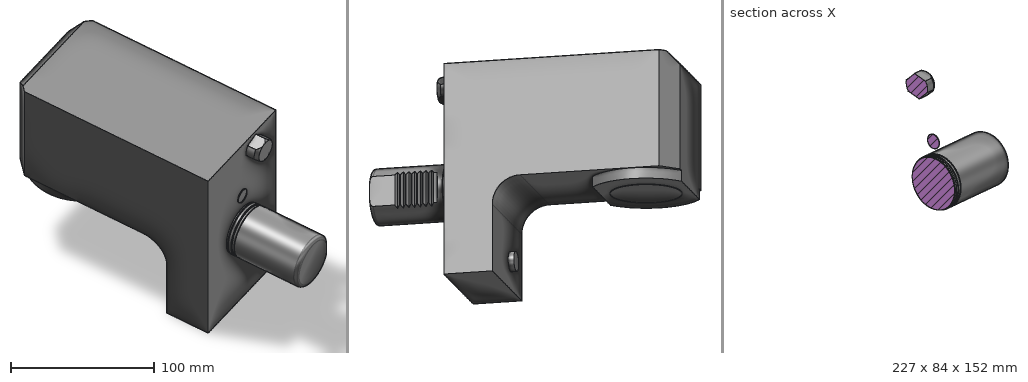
import cadquery as cq

total_length = 227.0
width = 84.0
height = 152.0

shank_length = 60.0
body_length = total_length - shank_length
arm_height = 84.0
leg_thickness = 35.0
inner_corner_radius = 20.0
side_chamfer = 12.0
top_chamfer = 8.0
arm_bottom = height - arm_height
leg_front = body_length - leg_thickness

boss_diameter = 82.0
boss_length = 64.0
boss_depth = 7.7
face_plate_radius = 25.2
face_plate_depth = 0.5

shank_radius = 20.0
shank_height = 69.9
shank_end_fillet = 2.7
neck_relief = 0.5
neck_length = 1.1
land_start = 2.0
land_end = 4.0
ring_start = 4.8
ring_end = 6.8
groove_depth = 0.7
ring_recess = 0.11

flat_offset = 16.8
flat_start = 11.3
flat_run_in = 1.4
tooth_count = 7
tooth_pitch = 4.0
first_tooth = 15.5
tooth_depth = 1.5
tooth_width = 3.5

head_y = 15.0
head_z = 139.8
head_length = 9.8
head_radius = 10.0
head_flat_distance = 8.2
head_chamfer_length = 3.0
head_chamfer_depth = 1.7
head_flat_angles = (47, 107, 227, 287)

port_z = 101.9
port_radius = 5.5
port_depth = 0.7
pin_y = -10.0
pin_z = 20.0
pin_radius = 7.0
pin_length = 4.0


def rod(x, y, z, radius, length):
    """Cylinder along +X whose first end is centred on (x, y, z)."""
    return cq.Workplane("YZ", origin=(x, y, z)).circle(radius).extrude(length)


def make_body():
    outline = (
        cq.Workplane("XZ", origin=(0, width / 2, 0))
        .moveTo(0, height)
        .lineTo(body_length, height)
        .lineTo(body_length, 0)
        .lineTo(leg_front, 0)
        .lineTo(leg_front, arm_bottom - inner_corner_radius)
        .radiusArc((leg_front - inner_corner_radius, arm_bottom), -inner_corner_radius)
        .lineTo(0, arm_bottom)
        .close()
    )
    body = outline.extrude(width)
    body = body.faces("<X").edges("|Z").chamfer(side_chamfer)
    return body.faces("<X").edges(">Z").chamfer(top_chamfer)


def make_boss():
    plane = cq.Workplane("XY", origin=(boss_length / 2, 0, arm_bottom))
    disc = plane.circle(boss_diameter / 2).extrude(-boss_depth)
    trim = plane.rect(boss_length, width).extrude(-boss_depth)
    plate = plane.circle(face_plate_radius).extrude(-boss_depth - face_plate_depth)
    return disc.intersect(trim).union(plate)


def make_shank():
    groove_radius = shank_radius - groove_depth
    profile = (
        cq.Workplane("XY")
        .moveTo(0, 0)
        .lineTo(0, shank_radius - neck_relief)
        .lineTo(neck_length, shank_radius - neck_relief)
        .lineTo(land_start, shank_radius)
        .lineTo(land_end, shank_radius)
        .lineTo(land_end, groove_radius)
        .lineTo(ring_start, groove_radius)
        .threePointArc(
            ((ring_start + ring_end) / 2, shank_radius - ring_recess),
            (ring_end, groove_radius),
        )
        .lineTo(ring_end, shank_radius)
        .lineTo(shank_length, shank_radius)
        .lineTo(shank_length, 0)
        .close()
    )
    shank = profile.revolve(360, (0, 0, 0), (1, 0, 0))
    shank = shank.faces(">X").edges().fillet(shank_end_fillet)
    return shank.cut(make_toothed_cutter()).translate((body_length, 0, shank_height))


def make_toothed_cutter():
    cutter = (
        cq.Workplane("XY")
        .moveTo(flat_start - flat_run_in, shank_radius)
        .lineTo(flat_start, flat_offset)
    )
    for i in range(tooth_count):
        root = first_tooth + i * tooth_pitch
        cutter = (
            cutter.lineTo(root - tooth_width / 2, flat_offset)
            .lineTo(root, flat_offset - tooth_depth)
            .lineTo(root + tooth_width / 2, flat_offset)
        )
    cutter = cutter.lineTo(shank_length, flat_offset).lineTo(shank_length, shank_radius).close()
    return cutter.extrude(shank_radius, both=True)


def make_screw_head():
    head = (
        rod(0, 0, 0, head_radius, head_length)
        .faces(">X")
        .chamfer(head_chamfer_length, head_chamfer_depth)
    )
    for angle in head_flat_angles:
        waste = cq.Workplane("XY").box(
            head_length, head_radius, 2 * head_radius, centered=(False, False, True)
        )
        waste = waste.translate((0, head_flat_distance, 0))
        head = head.cut(waste.rotate((0, 0, 0), (1, 0, 0), angle))
    return head.translate((body_length, head_y, head_z))


port = rod(body_length, 0, port_z, port_radius, port_depth)
pin = rod(leg_front - pin_length, pin_y, pin_z, pin_radius, pin_length)

result = make_body()
for feature in (make_boss(), make_shank(), make_screw_head(), port, pin):
    result = result.union(feature)